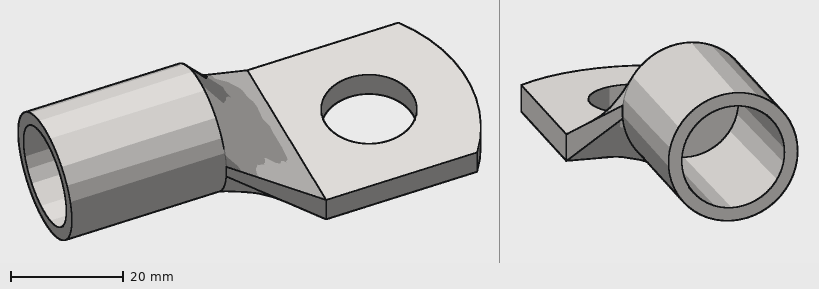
import cadquery as cq
import math

total_length = 82.0
barrel_length = 30.0
neck_length = 17.0
neck_end = barrel_length + neck_length

barrel_radius = 12.0
bore_radius = 9.5
overall_height = 26.0
axis_height = overall_height - barrel_radius

palm_width = 35.0
palm_thickness = 5.0
half_width = palm_width / 2
tip_rise = 5.65
shoulder_y = total_length - tip_rise
hole_diameter = 17.05
hole_to_tip = 19.0

side_half_angle = 5.9

barrel_slope = 1.2

neck_curve_steps = 16
neck_intervals = 4


def make_barrel():
    plane = cq.Workplane("XZ", origin=(0, 0, axis_height))
    return plane.circle(barrel_radius).extrude(-barrel_length)


def make_bore():
    plane = cq.Workplane("XZ", origin=(0, 0, axis_height))
    return plane.circle(bore_radius).extrude(-barrel_length)


def blend(start, end, share):
    """Value at the given share of the way from start to end."""
    return start + (end - start) * share


def neck_rise(share):
    """Height share along the crown: level at the palm, rising at barrel_slope into the barrel."""
    return (3 - barrel_slope) * share**2 - (2 - barrel_slope) * share**3


def neck_point(across, share, upper):
    """X, Z of a neck point.

    across runs from 0 at the -X side to 1 at the +X side, share from 0 at the palm to 1 at the barrel.
    """
    side = 1 if upper else -1
    end_angle = math.radians(side * side_half_angle)
    angle = blend(side * math.pi - end_angle, end_angle, across)
    barrel_x = barrel_radius * math.cos(angle)
    barrel_z = axis_height + barrel_radius * math.sin(angle)
    palm_z = palm_thickness if upper else 0
    x = blend(blend(-half_width, half_width, across), barrel_x, share)
    z = blend(palm_z, barrel_z, share)
    if upper:
        crown_height = barrel_z - (axis_height + barrel_radius * math.sin(end_angle))
        z += crown_height * (neck_rise(share) - share)
    return x, z


def neck_curve(points, share):
    """Edge across the neck: a line at the palm, an arc at the barrel, a spline in between."""
    if share == 0:
        return cq.Edge.makeLine(points[0], points[-1])
    if share == 1:
        return cq.Edge.makeThreePointArc(points[0], points[len(points) // 2], points[-1])
    return cq.Edge.makeSpline(points)


def neck_section(share):
    """Closed neck outline: curved belly and crown joined by two straight sides."""
    y = neck_end - share * neck_length
    steps = [i / neck_curve_steps for i in range(neck_curve_steps + 1)]
    outlines = []
    for upper in (False, True):
        points = [neck_point(across, share, upper) for across in steps]
        outlines.append([cq.Vector(x, y, z) for x, z in points])
    belly, crown = outlines
    return cq.Wire.assembleEdges(
        [
            neck_curve(belly, share),
            cq.Edge.makeLine(belly[-1], crown[-1]),
            neck_curve(crown[::-1], share),
            cq.Edge.makeLine(crown[0], belly[0]),
        ]
    )


def make_neck():
    """Blend the rectangular palm section into the round barrel end."""
    sections = [neck_section(i / neck_intervals) for i in range(neck_intervals + 1)]
    return cq.Workplane(cq.Solid.makeLoft(sections))


def make_palm():
    """Flat plate with an arched tip and a bolt hole."""
    plate = (
        cq.Workplane("XY")
        .moveTo(-half_width, neck_end)
        .lineTo(half_width, neck_end)
        .lineTo(half_width, shoulder_y)
        .threePointArc((0, total_length), (-half_width, shoulder_y))
        .close()
        .extrude(palm_thickness)
    )
    hole = (
        cq.Workplane("XY")
        .center(0, total_length - hole_to_tip)
        .circle(hole_diameter / 2)
        .extrude(palm_thickness)
    )
    return plate.cut(hole)


result = make_barrel().union(make_neck()).union(make_palm()).cut(make_bore())